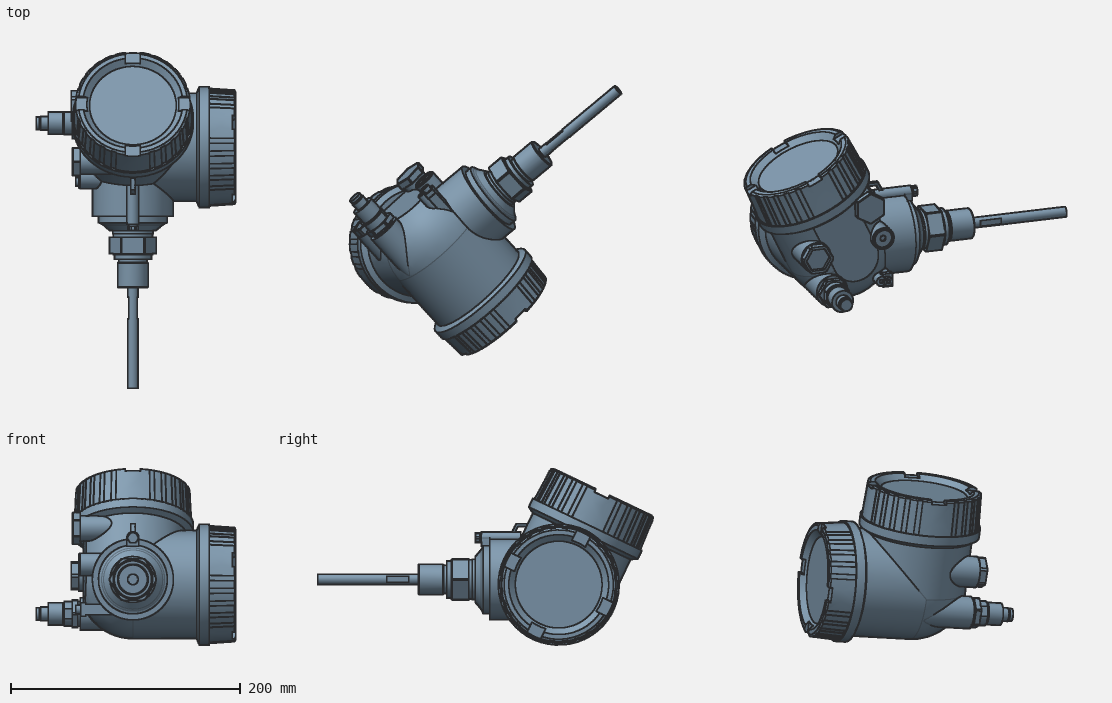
import cadquery as cq
import math


hub = cq.Vector(0, 0, -4.5)
tilt = 25.5
housing_radius = 47.2
upper_flange_end = 58.0
upper_flange_height = 8.2
upper_cone_height = 3.3
upper_cap_end = 89.2
side_flange_end = 66.3
side_flange_height = 8.4
side_cone_height = 2.5
side_cap_end = 89.6
flange_radius = 52.7
cap_base_radius = 51.3
cap_rim_radius = 49.8
rim_chamfer_height = 1.2
rim_chamfer_width = 2.2
window_radius = 37.8
window_rim_radius = 43.5
window_depth = 5.0

notch_count = 4
notch_width = 13.2
notch_depth = 3.0
side_notch_angle = 26

grooves_per_quarter = 5
groove_pitch = 12.75
groove_span = 5.0
groove_depth = 0.6

flat_x = -42.1
flat_slope = 3.3

neck_radius = 35.3
neck_end = 60.2
lower_step_radius = 30.0
lower_step_end = 65.7
seat_radius = 27.5
seat_end = 66.7
cone_base_radius = 25.8
cone_start = 67.8
cone_tip_radius = 20.0
cone_end = 72.7
hex_start = 78.2
hex_end = 92.7
hex_flats = 36.0
hex_corner_radius = 20.4
stem_radius = 17.7
stem_step = 0.5
stem_step_start = 75.2
washer_radius = 16.2
washer_start = 93.7
washer_end = 97.6
undercut_radius = 12.4
undercut_end = 100.3
thread_radius = 13.4
thread_end = 122.3
thread_chamfer = 0.8
rod_radius = 4.6
rod_end = 209.95
rod_flat_start = 130.5
rod_flat_end = 149.6
rod_flat_width = 7.6

edge_step = 0.5


def cylinder(start, direction, radius, length):
    return cq.Workplane(cq.Solid.makeCylinder(radius, length, cq.Vector(*start), cq.Vector(*direction)))


def box(x_range, y_range, z_range):
    """Axis-aligned block spanning the three ranges."""
    sizes = [high - low for low, high in (x_range, y_range, z_range)]
    corner = (x_range[0], y_range[0], z_range[0])
    return cq.Workplane("XY").box(*sizes, centered=False).translate(corner)


def revolved(plane, outline):
    """Spin a (radius, height) outline about the plane's normal."""
    axis_plane = cq.Plane(origin=plane.origin, xDir=plane.xDir, normal=-plane.yDir)
    return cq.Workplane(axis_plane).polyline(outline).close().revolve(360, (0, 0, 0), (0, 1, 0))


def hexagon(plane, flats, length):
    """Hexagonal prism with corners along the plane's x direction."""
    return cq.Workplane(plane).polygon(6, flats / math.cos(math.radians(30))).extrude(length)


def rounded_hex(plane, flats, corner_radius, length):
    """Hexagonal prism with its corners turned down to corner_radius."""
    return hexagon(plane, flats, length).intersect(cq.Workplane(plane).circle(corner_radius).extrude(length))


def cap(plane, flange_end, flange_height, cone_height, cap_end):
    """Screw cap with flange, recessed window, four rim notches and grip grooves."""
    flange_start = flange_end - flange_height
    cone_start = flange_start - cone_height
    body = revolved(plane, [
        (0, cone_start), (housing_radius, cone_start), (flange_radius, flange_start),
        (flange_radius, flange_end), (cap_base_radius, flange_end),
        (cap_rim_radius, cap_end - rim_chamfer_height), (cap_rim_radius - rim_chamfer_width, cap_end),
        (window_rim_radius, cap_end), (window_radius, cap_end - window_depth),
        (0, cap_end - window_depth),
    ])
    notch = (
        cq.Workplane(plane).workplane(offset=cap_end - notch_depth)
        .center((window_radius + flange_radius) / 2, 0)
        .rect(flange_radius - window_radius, notch_width).extrude(2 * notch_depth)
    )
    half_span = math.radians(groove_span / 2)
    outer = 2 * cap_base_radius
    wedge = (
        cq.Workplane(plane).workplane(offset=flange_end)
        .polyline([(0, 0), (outer, -outer * math.tan(half_span)), (outer, outer * math.tan(half_span))])
        .close().extrude(cap_end - flange_end)
    )
    wall_core = revolved(plane, [
        (0, flange_end), (cap_base_radius - groove_depth, flange_end),
        (cap_rim_radius - groove_depth, cap_end), (0, cap_end),
    ])
    groove = wedge.cut(wall_core)
    pivot = plane.origin
    axis_end = plane.origin + plane.zDir
    for quarter in range(notch_count):
        notch_turn = quarter * 360 / notch_count
        body = body.cut(notch.rotate(pivot.toTuple(), axis_end.toTuple(), notch_turn))
        for index in range(grooves_per_quarter):
            offset = (index - (grooves_per_quarter - 1) / 2) * groove_pitch
            turn = notch_turn + 180 / notch_count + offset
            body = body.cut(groove.rotate(pivot.toTuple(), axis_end.toTuple(), turn))
    return body


def elbow(plane):
    """Quarter sphere closing the corner below the upper housing, on the -X side."""
    return (
        cq.Workplane(cq.Plane(origin=plane.origin, xDir=plane.yDir, normal=plane.zDir))
        .moveTo(-housing_radius, 0).threePointArc((0, housing_radius), (housing_radius, 0))
        .close().revolve(90, (0, 0, 0), (-1, 0, 0))
    )


def housings():
    lean = math.radians(tilt)
    upper = cq.Plane(origin=hub.toTuple(), xDir=(1, 0, 0), normal=(0, math.sin(lean), math.cos(lean)))
    turn = math.radians(side_notch_angle)
    side = cq.Plane(origin=hub.toTuple(), xDir=(0, -math.cos(turn), math.sin(turn)), normal=(1, 0, 0))
    barrel = cq.Workplane(upper).circle(housing_radius).extrude(upper_flange_end)
    body = barrel.union(elbow(upper))
    reach = 4 * housing_radius
    outside = cq.Workplane(upper).box(reach, reach, reach)
    outside = outside.translate((flat_x - reach / 2, 0, 0))
    hinge_start = hub + cq.Vector(flat_x, 0, 0)
    hinge_end = hinge_start + upper.zDir
    body = body.cut(outside.rotate(hinge_start.toTuple(), hinge_end.toTuple(), flat_slope))
    body = body.union(cq.Workplane(side).circle(housing_radius).extrude(side_flange_end))
    upper_cap = cap(upper, upper_flange_end, upper_flange_height, upper_cone_height, upper_cap_end)
    side_cap = cap(side, side_flange_end, side_flange_height, side_cone_height, side_cap_end)
    return body.union(upper_cap).union(side_cap)


def process_connection():
    plane = cq.Plane(origin=(0, 0, 0), xDir=(1, 0, 0), normal=(0, -1, 0))
    body = revolved(plane, [
        (0, 0), (neck_radius, 0), (neck_radius, neck_end),
        (lower_step_radius, neck_end), (lower_step_radius, lower_step_end),
        (seat_radius, seat_end), (cone_base_radius, cone_start), (cone_tip_radius, cone_end),
        (stem_radius, cone_end), (stem_radius, stem_step_start),
        (stem_radius - stem_step, stem_step_start), (stem_radius - stem_step, washer_start),
        (washer_radius, washer_start), (washer_radius, washer_end),
        (undercut_radius, washer_end), (undercut_radius, undercut_end),
        (thread_radius - thread_chamfer, undercut_end),
        (thread_radius, undercut_end + thread_chamfer),
        (thread_radius, thread_end - thread_chamfer),
        (thread_radius - thread_chamfer, thread_end),
        (rod_radius, thread_end), (rod_radius, rod_end), (0, rod_end),
    ])
    hex_plane = cq.Plane(origin=(0, -hex_start, 0), xDir=(1, 0, 0), normal=(0, -1, 0))
    body = body.union(rounded_hex(hex_plane, hex_flats, hex_corner_radius, hex_end - hex_start))
    flats = box((rod_flat_width / 2, rod_radius), (-rod_flat_end, -rod_flat_start), (-rod_radius, rod_radius))
    return body.cut(flats).cut(flats.mirror("YZ"))


def lock_screw():
    """Clamp lug on top of the neck with its screw and bent catch."""
    lug_radius, lug_z, lug_back = 5.3, 36.1, 33.0
    block_end, block_bottom = 67.3, 29.0
    head_radius, head_end = 4.6, 72.5
    groove_width, groove_depth_at_head = 1.4, 1.0
    head_start = block_end + groove_width
    catch_width, catch_thickness = 4.0, 2.6
    catch_back, catch_bend, catch_foot = -22.0, -35.5, -39.0
    catch_top, catch_bottom = 48.6, 39.0
    tip_shift = 1.5
    foot_length = 3.0
    lug = cylinder((0, -lug_back, lug_z), (0, -1, 0), lug_radius, block_end - lug_back)
    block = box((-lug_radius, lug_radius), (-block_end, -neck_end), (block_bottom, lug_z))
    shank = cylinder((0, -block_end, lug_z), (0, -1, 0), head_radius - groove_depth_at_head, head_end - block_end)
    head_plane = cq.Plane(origin=(0, -head_start, lug_z), xDir=(1, 0, 0), normal=(0, -1, 0))
    head = rounded_hex(head_plane, 2 * head_radius - edge_step, head_radius, head_end - head_start)
    catch_under = catch_top - catch_thickness
    catch = (
        cq.Workplane("YZ").workplane(offset=-catch_width / 2)
        .polyline([
            (catch_back, catch_under), (catch_bend, catch_under),
            (catch_foot, catch_bottom), (catch_foot - foot_length, catch_bottom),
            (catch_bend - tip_shift, catch_top), (catch_back, catch_top),
        ])
        .close().extrude(catch_width)
    )
    return lug.union(block).union(shank).union(head).union(catch)


boss_face = -46.0


def boss(y, z, radius, face_x=boss_face):
    return cylinder((face_x, y, z), (1, 0, 0), radius, -face_x)


def side_plane(x, y, z, x_dir):
    return cq.Plane(origin=(x, y, z), xDir=x_dir, normal=(-1, 0, 0))


def hex_headed_boss():
    y, z = -12.6, 44.4
    boss_radius = 11.0
    head_flats, head_corner, head_end = 24.6, 13.9, -52.6
    head_plane = side_plane(boss_face, y, z, (0, 0, 1))
    head = rounded_hex(head_plane, head_flats, head_corner, boss_face - head_end)
    return boss(y, z, boss_radius).union(head.faces("<X").chamfer(edge_step))


def screw_boss():
    y, z = -26.3, 13.0
    radius, recess_radius, recess_depth = 9.9, 8.0, 1.5
    pin_radius, pin_depth = 2.5, 1.5
    face_x = boss_face - 2 * edge_step
    body = boss(y, z, radius, face_x).faces("<X").chamfer(2 * edge_step)
    recess_x = face_x + recess_depth
    body = body.cut(cylinder((recess_x, y, z), (-1, 0, 0), recess_radius, recess_depth))
    return body.cut(cylinder((recess_x, y, z), (1, 0, 0), pin_radius, pin_depth))


def socket_plug():
    y, z = 36.0, 3.3
    collar_radius, collar_end, corner_radius = 13.6, -47.2, 13.3
    head_flats, head_end = 24.2, -53.8
    socket_flats, socket_depth = 19.4, 4.0
    body = boss(y, z, collar_radius, collar_end)
    head_plane = side_plane(collar_end, y, z, (0, 1, 0))
    head = rounded_hex(head_plane, head_flats, corner_radius, collar_end - head_end)
    socket_plane = side_plane(head_end + socket_depth, y, z, (0, 1, 0))
    socket = hexagon(socket_plane, socket_flats, socket_depth)
    return body.union(head).cut(socket)


def cable_connector():
    y, z = 20.9, -30.0
    boss_radius = 14.2
    nut_start, nut_end, nut_flats, nut_corner = -48.0, -52.9, 24.3, 13.6
    collar_end, collar_radius, flats_width = -59.9, 10.8, 19.7
    sleeve_end, sleeve_radius = -73.9, 9.8
    groove_width, relief_depth = 1.2, 0.5
    spigot_radius, ring_start, tip_end = 6.0, -80.4, -84.2
    body = boss(y, z, boss_radius)
    body = body.union(cylinder((boss_face, y, z), (-1, 0, 0), collar_radius, boss_face - nut_end))
    nut_plane = side_plane(nut_start, y, z, (0, 1, 0))
    body = body.union(rounded_hex(nut_plane, nut_flats, nut_corner, nut_start - nut_end))
    across = (y - flats_width / 2, y + flats_width / 2)
    flattened = box((collar_end, nut_end), across, (z - collar_radius, z + collar_radius))
    collar = cylinder((nut_end, y, z), (-1, 0, 0), collar_radius, nut_end - collar_end)
    body = body.union(flattened.intersect(collar))
    turned = revolved(side_plane(collar_end, y, z, (0, 1, 0)), [
        (0, 0), (sleeve_radius - relief_depth, 0), (sleeve_radius - relief_depth, groove_width),
        (sleeve_radius, groove_width), (sleeve_radius, collar_end - sleeve_end),
        (spigot_radius, collar_end - sleeve_end), (spigot_radius, collar_end - ring_start),
        (spigot_radius - 2 * edge_step, collar_end - ring_start),
        (spigot_radius - 2 * edge_step, collar_end - ring_start + 2 * edge_step),
        (spigot_radius - edge_step, collar_end - ring_start + 2 * edge_step),
        (spigot_radius - edge_step, collar_end - tip_end), (0, collar_end - tip_end),
    ])
    return body.union(turned)


def ground_terminal():
    """Bar reaching out from the neck, with a clamp plate and two screw heads on its end."""
    arm_end, plate_end = -41.0, -45.5
    y_range = (-35.0, -26.5)
    arm_bottom, arm_top = -30.8, -21.5
    plate_margin = 1.3
    arm = box((arm_end, 0), y_range, (arm_bottom, arm_top))
    plate = box((plate_end, arm_end), y_range, (arm_bottom - plate_margin, arm_top + plate_margin))
    screw_z = (arm_bottom + arm_top) / 2
    recess_radius, recess_depth = 1.6, 1.5
    terminal = arm.union(plate)
    inner_screw = (-24.3, 4.4, -47.0)
    clamp_screw = (-30.0, 3.8, -49.8)
    for screw_y, screw_radius, screw_end in (inner_screw, clamp_screw):
        head = cylinder((screw_end, screw_y, screw_z), (1, 0, 0), screw_radius, -screw_end)
        recess = cylinder((screw_end, screw_y, screw_z), (1, 0, 0), recess_radius, recess_depth)
        terminal = terminal.union(head).cut(recess)
    return terminal


result = housings()
for feature in (process_connection, lock_screw, hex_headed_boss, screw_boss,
                socket_plug, cable_connector, ground_terminal):
    result = result.union(feature())